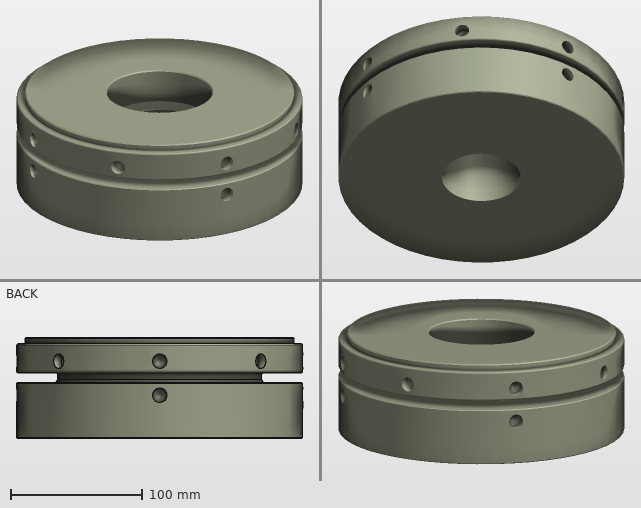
import cadquery as cq
import math

outer_radius = 109.0
base_top = 42.5
flange_bottom = 50.0
flange_top = 72.2
total_height = 77.0

stem_radius = 79.4
groove_radius = 77.8
groove_bottom = 45.0
groove_fillet = 1.5

ring_bore_radius = 30.0
cap_bore_radius = 40.1

cap_radius = 102.7
seat_rim_radius = 85.5
seat_sphere_radius = 152.5
seat_center_z = flange_top + math.sqrt(seat_sphere_radius**2 - seat_rim_radius**2)

spanner_hole_radius = 5.5
spanner_hole_depth = 8.3
drill_tip_angle = 118.0
drill_overshoot = 2.2
ring_hole_count = 8
ring_hole_z = 58.9
base_hole_count = 4
base_hole_z = 33.0

base_chamfer = 0.7
flange_fillet = 1.3
cap_chamfer = 0.9
bore_chamfer = 0.7


def seat_height(radius):
    """Height of the spherical seat at a given distance from the axis."""
    return seat_center_z - math.sqrt(seat_sphere_radius**2 - radius**2)


def revolve_profile(profile):
    """Turn a closed (radius, height) profile about the Z axis."""
    return profile.close().revolve(360, (0, 0, 0), (0, 1, 0))


def seat_arc(profile, start_radius, end_radius):
    """Continue a profile along the spherical seat."""
    middle_radius = (start_radius + end_radius) / 2
    return profile.threePointArc(
        (middle_radius, seat_height(middle_radius)),
        (end_radius, seat_height(end_radius)),
    )


def cut_spanner_holes(body, count, height):
    """Cut evenly spaced radial blind holes with conical drill tips."""
    tip_length = spanner_hole_radius / math.tan(math.radians(drill_tip_angle / 2))
    floor_radius = outer_radius - spanner_hole_depth
    drill = revolve_profile(
        cq.Workplane("XY")
        .moveTo(0, floor_radius - tip_length)
        .lineTo(spanner_hole_radius, floor_radius)
        .lineTo(spanner_hole_radius, outer_radius + drill_overshoot)
        .lineTo(0, outer_radius + drill_overshoot)
    ).translate((0, 0, height))
    for index in range(count):
        body = body.cut(drill.rotate((0, 0, 0), (0, 0, 1), index * 360 / count))
    return body


def make_base():
    """Base ring whose through bore receives the stem."""
    base = cq.Workplane("XY").circle(outer_radius).extrude(base_top)
    base = base.edges().chamfer(base_chamfer)
    base = base.cut(cq.Workplane("XY").circle(stem_radius).extrude(base_top))
    return cut_spanner_holes(base, base_hole_count, base_hole_z)


def make_adjusting_ring():
    """Flanged ring with a grooved stem below and a concave seat above."""
    seat_edge_radius = ring_bore_radius + bore_chamfer
    profile = (
        cq.Workplane("XZ")
        .moveTo(ring_bore_radius, 0)
        .lineTo(stem_radius, 0)
        .lineTo(stem_radius, base_top)
        .lineTo(groove_radius, groove_bottom)
        .lineTo(groove_radius, flange_bottom - groove_fillet)
        .radiusArc((groove_radius + groove_fillet, flange_bottom), groove_fillet)
        .lineTo(outer_radius - flange_fillet, flange_bottom)
        .radiusArc((outer_radius, flange_bottom + flange_fillet), -flange_fillet)
        .lineTo(outer_radius, flange_top - flange_fillet)
        .radiusArc((outer_radius - flange_fillet, flange_top), -flange_fillet)
        .lineTo(seat_rim_radius, flange_top)
    )
    profile = seat_arc(profile, seat_rim_radius, seat_edge_radius)
    profile = profile.lineTo(ring_bore_radius, seat_height(seat_edge_radius) - bore_chamfer)
    return cut_spanner_holes(revolve_profile(profile), ring_hole_count, ring_hole_z)


def make_cap():
    """Washer with a convex underside that rests in the seat."""
    profile = cq.Workplane("XZ").moveTo(cap_bore_radius, seat_height(cap_bore_radius))
    profile = seat_arc(profile, cap_bore_radius, seat_rim_radius)
    profile = (
        profile.lineTo(cap_radius, flange_top)
        .lineTo(cap_radius, total_height - cap_chamfer)
        .lineTo(cap_radius - cap_chamfer, total_height)
        .lineTo(cap_bore_radius + cap_chamfer, total_height)
        .lineTo(cap_bore_radius, total_height - cap_chamfer)
    )
    return revolve_profile(profile)


base = make_base()
adjusting_ring = make_adjusting_ring()
cap = make_cap()

result = cq.Compound.makeCompound([base.val(), adjusting_ring.val(), cap.val()])